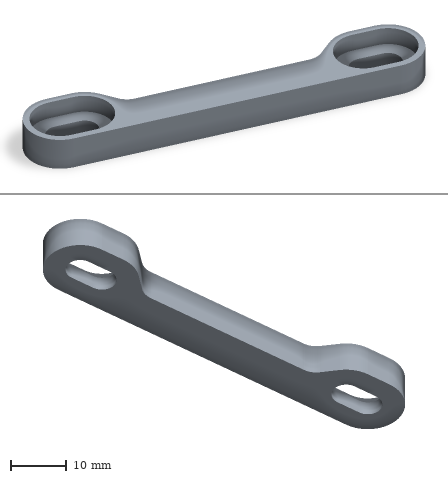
import cadquery as cq
import math

length = 77.0
end_width = 13.5
thickness = 6.3
neck_width = 7.8
neck_fillet = 3.85
selection_margin = 0.1

slot_travel = 4.8
slot_width = 5.3
rim = 1.2
pocket_depth = 3.5

end_radius = end_width / 2
pocket_width = end_width - 2 * rim
arc_center_outer = length / 2 - end_radius
arc_center_inner = arc_center_outer - slot_travel
slot_center = arc_center_outer - slot_travel / 2
neck_left = end_radius - neck_width

diagonal = math.sqrt(0.5)
shoulder_x = -end_radius * diagonal
shoulder_y = arc_center_inner - end_radius * diagonal
neck_corner_y = shoulder_y - (neck_left - shoulder_x)


def make_bar():
    """Extrude the outline: straight on +X, necked in on -X."""
    outline = (
        cq.Workplane("XY")
        .moveTo(end_radius, -arc_center_outer)
        .lineTo(end_radius, arc_center_outer)
        .threePointArc((0, length / 2), (-end_radius, arc_center_outer))
        .lineTo(-end_radius, arc_center_inner)
        .radiusArc((shoulder_x, shoulder_y), -end_radius)
        .lineTo(neck_left, neck_corner_y)
        .lineTo(neck_left, -neck_corner_y)
        .lineTo(shoulder_x, -shoulder_y)
        .radiusArc((-end_radius, -arc_center_inner), -end_radius)
        .lineTo(-end_radius, -arc_center_outer)
        .threePointArc((0, -length / 2), (end_radius, -arc_center_outer))
        .close()
    )
    bar = outline.extrude(thickness)
    neck_corners = cq.selectors.BoxSelector(
        (neck_left - selection_margin, -neck_corner_y - selection_margin, 0),
        (neck_left + selection_margin, neck_corner_y + selection_margin, thickness),
    )
    return bar.edges("|Z").edges(neck_corners).fillet(neck_fillet)


def end_slots(width, bottom):
    """Cutters for both ends, reaching from the given height to the top face."""
    return (
        cq.Workplane("XY", origin=(0, 0, bottom))
        .pushPoints([(0, slot_center), (0, -slot_center)])
        .slot2D(slot_travel + width, width, 90)
        .extrude(thickness - bottom)
    )


pockets = end_slots(pocket_width, thickness - pocket_depth)
through_slots = end_slots(slot_width, 0)
result = make_bar().cut(pockets).cut(through_slots)